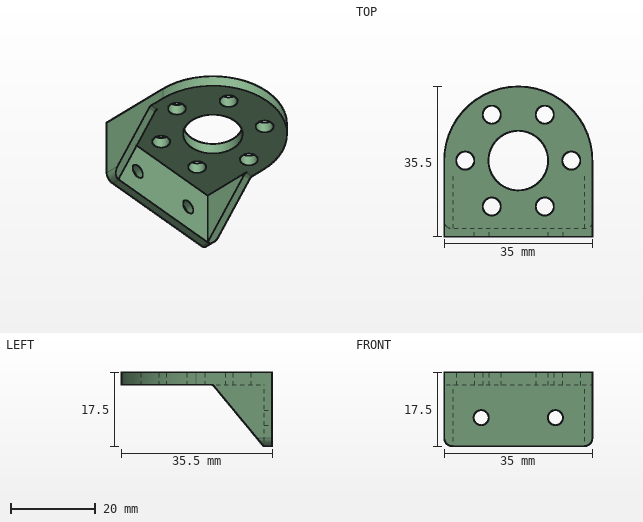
import cadquery as cq

WIDTH = 35.0
HEIGHT = 17.5
FRONT_OFFSET = 18.0
PLATE_THICKNESS = 3.0

WALL_THICKNESS = 2.0
GUSSET_THICKNESS = 2.0
GUSSET_REACH = 12.0
GUSSET_FILLET = 1.0
CORNER_RADIUS = 2.0

BORE_DIAMETER = 14.0
FLANGE_HOLE_DIAMETER = 4.2
FLANGE_HOLE_COUNT = 6
FLANGE_HOLE_CIRCLE = 25.0
WALL_HOLE_DIAMETER = 3.5
WALL_HOLE_COUNT = 2
WALL_HOLE_SPACING = WIDTH / 2
WALL_HOLE_DEPTH = 10.75

HALF_WIDTH = WIDTH / 2
FRONT_Y = -FRONT_OFFSET
WALL_INNER_Y = FRONT_Y + WALL_THICKNESS
GUSSET_END_Y = WALL_INNER_Y + GUSSET_REACH


def wedge():
    """Side outline in YZ, extruded across the full width.

    The plate stops at the bore axis, where the rounded end continues it.
    """
    return (
        cq.Workplane("YZ", origin=(-HALF_WIDTH, 0, 0))
        .moveTo(FRONT_Y, 0)
        .lineTo(0, 0)
        .lineTo(0, -PLATE_THICKNESS)
        .lineTo(GUSSET_END_Y, -PLATE_THICKNESS)
        .lineTo(WALL_INNER_Y, -HEIGHT)
        .lineTo(FRONT_Y, -HEIGHT)
        .close()
        .extrude(WIDTH)
    )


def body():
    """Plate, wall and two side gussets, with the space between them open."""
    bracket = wedge()
    slope_top = cq.selectors.NearestToPointSelector((0, GUSSET_END_Y, -PLATE_THICKNESS))
    bracket = bracket.edges("|X").edges(slope_top).fillet(GUSSET_FILLET)
    bracket = bracket.edges("|Y and <Z").fillet(CORNER_RADIUS)

    rounded_end = cq.Workplane("XY").circle(HALF_WIDTH).extrude(-PLATE_THICKNESS)

    inner_width = WIDTH - 2 * GUSSET_THICKNESS
    inner_length = -WALL_INNER_Y
    inner_height = HEIGHT - PLATE_THICKNESS
    inner_space = (
        cq.Workplane("XY", origin=(0, WALL_INNER_Y, -HEIGHT))
        .box(inner_width, inner_length, inner_height, centered=(True, False, False))
    )
    return bracket.cut(inner_space).union(rounded_end)


def flange_holes():
    """Central bore and the ring of holes through the plate."""
    bore = cq.Workplane("XY").circle(BORE_DIAMETER / 2).extrude(-PLATE_THICKNESS)
    ring = (
        cq.Workplane("XY")
        .polarArray(FLANGE_HOLE_CIRCLE / 2, 0, 360, FLANGE_HOLE_COUNT)
        .circle(FLANGE_HOLE_DIAMETER / 2)
        .extrude(-PLATE_THICKNESS)
    )
    return bore.union(ring)


def wall_holes():
    """Pair of mounting holes through the front wall."""
    return (
        cq.Workplane("XZ", origin=(0, FRONT_Y, -WALL_HOLE_DEPTH))
        .rarray(WALL_HOLE_SPACING, WALL_HOLE_SPACING, WALL_HOLE_COUNT, 1)
        .circle(WALL_HOLE_DIAMETER / 2)
        .extrude(-WALL_THICKNESS)
    )


result = body().cut(flange_holes()).cut(wall_holes())